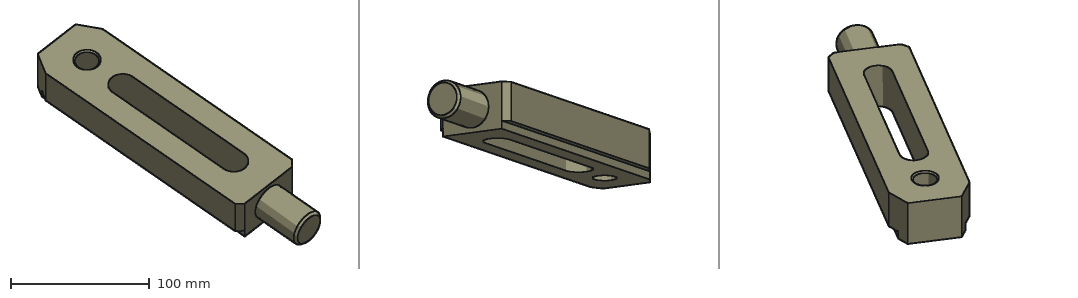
import cadquery as cq
import math

total_length = 250.0
body_length = 210.0
width = 60.0
height = 35.0

nose_cut_y = 10.0
nose_angle = 30.0
nose_cut_x = nose_cut_y / math.tan(math.radians(nose_angle))
tail_cut = 5.0

rail_width = 50.0
rail_height = 6.0

hole_x = 30.0
hole_diameter = 17.5
hole_chamfer = 1.2
slot_start = 55.0
slot_length = 131.0
slot_width = 21.0

pin_diameter = 28.0
pin_chamfer = 2.0


def make_body():
    """Bar with a tapered nose and small tail corner cuts."""
    half = width / 2
    return (
        cq.Workplane("XY")
        .moveTo(0, nose_cut_y - half)
        .lineTo(nose_cut_x, -half)
        .lineTo(body_length - tail_cut, -half)
        .lineTo(body_length, tail_cut - half)
        .lineTo(body_length, half - tail_cut)
        .lineTo(body_length - tail_cut, half)
        .lineTo(nose_cut_x, half)
        .lineTo(0, half - nose_cut_y)
        .close()
        .extrude(height)
    )


def make_side_step(side):
    """Material removed beside the rail; side is +1 or -1 along Y."""
    step_depth = (width - rail_width) / 2
    return (
        cq.Workplane("XY")
        .center(body_length / 2, side * (rail_width + step_depth) / 2)
        .rect(body_length, step_depth)
        .extrude(rail_height)
    )


def make_hole():
    """Through hole, countersunk at the top."""
    top_diameter = hole_diameter + 2 * hole_chamfer
    drill = cq.Workplane("XY").center(hole_x, 0).circle(hole_diameter / 2).extrude(height)
    countersink = (
        cq.Workplane("XY", origin=(hole_x, 0, height - hole_chamfer))
        .circle(hole_diameter / 2)
        .workplane(offset=hole_chamfer)
        .circle(top_diameter / 2)
        .loft()
    )
    return drill.union(countersink)


def make_slot():
    """Round-ended slot through the full height."""
    slot_centre = slot_start + slot_length / 2
    return cq.Workplane("XY").center(slot_centre, 0).slot2D(slot_length, slot_width).extrude(height)


def make_pin():
    """Pin on the tail face at mid-height, chamfered at its free end."""
    return (
        cq.Workplane("YZ", origin=(body_length, 0, height / 2))
        .circle(pin_diameter / 2)
        .extrude(total_length - body_length)
        .faces(">X")
        .chamfer(pin_chamfer)
    )


result = make_body()
for side in (-1, 1):
    result = result.cut(make_side_step(side))
result = result.cut(make_hole()).cut(make_slot()).union(make_pin())